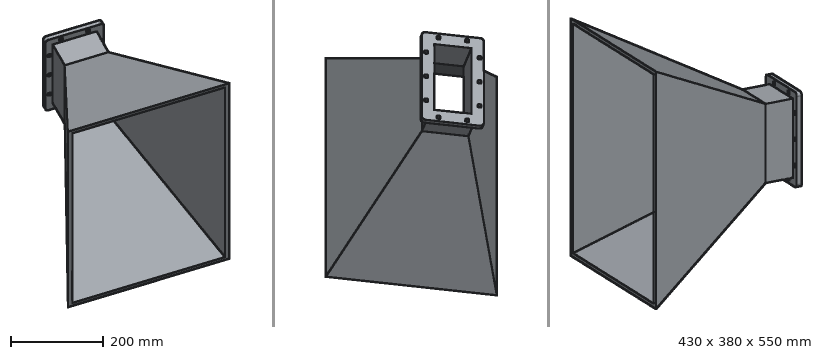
import cadquery as cq

total_length = 430.0
mouth_width = 380.0
mouth_height = 550.0

bore_width = 82.5
bore_height = 165.0
wall_side = 10.5
wall_top = 9.5
guide_end = 80.5
guide_width = bore_width + 2 * wall_side
guide_height = bore_height + 2 * wall_top

flange_thickness = 12.5
flange_width = 138.0
flange_height = 220.5
flange_corner_radius = 8.0

hole_diameter = 8.0
side_row_offset = 59.5
side_row_pitch = 60.5
end_row_offset = 100.0
end_row_half_spacing = 32.0


def block(width, height, length):
    """Box centred on the X axis, starting at X = 0."""
    return cq.Workplane("YZ").rect(width, height).extrude(length)


def flare(throat_width, throat_height, end_width, end_height):
    """Pyramidal frustum from the end of the guide to the mouth."""
    return (
        cq.Workplane("YZ", origin=(guide_end, 0, 0))
        .rect(throat_width, throat_height)
        .workplane(offset=total_length - guide_end)
        .rect(end_width, end_height)
        .loft(ruled=True)
    )


def bolt_holes():
    """Three holes along each long side and two along each short end."""
    points = []
    for side in (-1, 1):
        for step in (-1, 0, 1):
            points.append((side * side_row_offset, step * side_row_pitch))
        for end in (-1, 1):
            points.append((side * end_row_half_spacing, end * end_row_offset))
    return (
        cq.Workplane("YZ")
        .pushPoints(points)
        .circle(hole_diameter / 2)
        .extrude(flange_thickness)
    )


flange = block(flange_width, flange_height, flange_thickness).edges("|X").fillet(flange_corner_radius)
flange = flange.cut(bolt_holes())

guide = block(guide_width, guide_height, guide_end)
horn = flare(guide_width, guide_height, mouth_width, mouth_height)

bore = block(bore_width, bore_height, guide_end)
horn_cavity = flare(
    bore_width,
    bore_height,
    mouth_width - 2 * wall_side,
    mouth_height - 2 * wall_top,
)

result = flange.union(guide).union(horn).cut(bore).cut(horn_cavity)